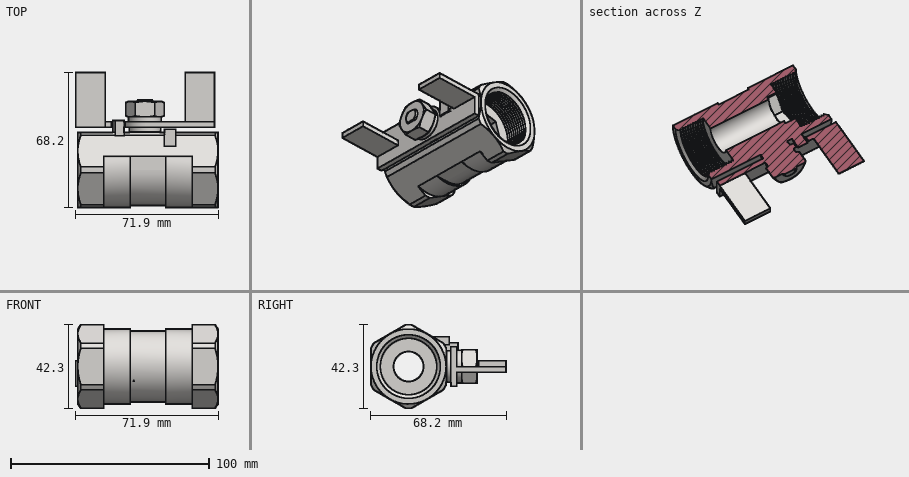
import cadquery as cq
import math


overall_length = 71.9
overall_depth = 68.2
body_length = 70.9
body_end = body_length / 2
hex_flats = 38.0
hex_corner_dia = 42.3
front_flat = hex_flats / 2

middle_length = 44.6
waist_length = 17.8
waist_dia = 36.0
end_chamfer_length = 1.6
end_chamfer_dia = 37.9

flow_bore_dia = 15.0
thread_minor_dia = 28.5
thread_major_dia = 29.9
thread_pitch = 1.45
thread_turns = 10
mouth_dia = 32.15
mouth_depth = 1.0
key_corner_dia = 19.7
key_depth = 5.75
key_angle = 12.0

stem_x = -1.5
stem_dia = 10.0
stem_flats = 6.05
stem_top = 35.45
stem_chamfer_height = 2.0
stem_chamfer_width = 1.5
neck_dia = 15.4
neck_height = 0.3
lower_collar_dia = 16.0
upper_collar_dia = 16.7
nut_flats = 17.0
nut_bottom = 26.75
nut_top = 34.6
nut_chamfer_height = 0.6

sheet = 3.0
handle_back = 21.4
handle_front = handle_back + sheet
handle_tip = overall_depth - front_flat
handle_left = body_end - overall_length
handle_right = 33.7
handle_width = 20.0
tab_length = 14.95
step_x = -18.55
step_z = 1.5
notch_floor_z = 0.0

stop_root = 11.5
arm_stop_front = 25.0
arm_stop_profile = [(-17.8, 0), (-12.0, 0), (-12.0, 12.0), (-16.4, 12.0), (-16.4, 7.25), (-17.8, 4.4)]
block_stop_front = 20.6
block_stop_left = 8.35
block_stop_right = 14.1
block_stop_top = 15.1
block_stop_bottom = 10.9


def box(x_range, y_range, z_range):
    """Axis-aligned box from its limits along each axis."""
    size = [high - low for low, high in (x_range, y_range, z_range)]
    return cq.Workplane("XY").box(*size, centered=False).translate((x_range[0], y_range[0], z_range[0]))


def flow_prism(diameter, x_start, x_stop, sides=0, angle=0.0):
    """Cylinder, or polygon prism with the given corner diameter, along the flow axis."""
    plane = cq.Workplane("YZ", origin=(x_start, 0, 0))
    outline = plane.polygon(sides, diameter) if sides else plane.circle(diameter / 2)
    return outline.extrude(x_stop - x_start).rotate((0, 0, 0), (1, 0, 0), angle)


def stem_cylinder(diameter, y_start, y_stop):
    """Cylinder around the stem axis."""
    plane = cq.Workplane("XZ", origin=(stem_x, y_start, 0))
    return plane.circle(diameter / 2).extrude(y_start - y_stop)


def revolve_x(points):
    """Turn an (x, radius) outline around the flow axis."""
    return cq.Workplane("XY").polyline(points).close().revolve(360, (0, 0, 0), (1, 0, 0))


def body():
    """Solid hexagonal body with turned corners and a round, waisted middle."""
    hex_corners = 2 * hex_flats / math.sqrt(3)
    hexagon = flow_prism(hex_corners, -body_end, body_end, sides=6, angle=30)
    rim = hex_corner_dia / 2
    face = end_chamfer_dia / 2
    shoulder = body_end - end_chamfer_length
    hexagon = hexagon.intersect(revolve_x([
        (-body_end, 0), (-body_end, face), (-shoulder, rim),
        (shoulder, rim), (body_end, face), (body_end, 0),
    ]))

    middle_x = (-middle_length / 2, middle_length / 2)
    full_span = (-hex_corner_dia, hex_corner_dia)
    window = box(middle_x, full_span, full_span)
    kept = box(middle_x, (0, front_flat), (-waist_dia / 2, waist_dia / 2))
    shell = hexagon.cut(window.cut(kept))

    core = flow_prism(waist_dia, *middle_x)
    for side in (-1, 1):
        inner, outer = sorted((side * waist_length / 2, side * middle_length / 2))
        core = core.union(flow_prism(hex_flats, inner, outer))
    return shell.union(core)


def threaded_bore():
    """Left-end cutter (conical mouth, then V-shaped thread rings) and the X of its floor."""
    minor = thread_minor_dia / 2
    major = thread_major_dia / 2
    start = mouth_depth - body_end
    points = [(-body_end, 0), (-body_end, mouth_dia / 2), (start, major)]
    for turn in range(thread_turns):
        x = start + turn * thread_pitch
        points += [(x + thread_pitch / 2, minor), (x + thread_pitch, major)]
    floor_x = start + thread_turns * thread_pitch
    points.append((floor_x, 0))
    return revolve_x(points), floor_x


def stem_and_nut():
    """Double-flatted stem with its neck, collars and chamfered nut."""
    stem = stem_cylinder(stem_dia, front_flat, stem_top)
    stem = stem.faces(">Y").edges().chamfer(stem_chamfer_height, stem_chamfer_width)
    stem = stem.intersect(box((-stem_dia, stem_dia), (0, stem_top), (-stem_flats / 2, stem_flats / 2)))
    neck_top = front_flat + neck_height
    neck = stem_cylinder(neck_dia, front_flat, neck_top)
    lower_collar = stem_cylinder(lower_collar_dia, neck_top, handle_back)
    upper_collar = stem_cylinder(upper_collar_dia, handle_front, nut_bottom)

    nut_corners = 2 * nut_flats / math.sqrt(3)
    nut_plane = cq.Workplane("XZ", origin=(stem_x, nut_bottom, 0))
    nut = nut_plane.polygon(6, nut_corners).extrude(nut_bottom - nut_top)
    chamfer_width = (nut_corners - nut_flats) / 2
    envelope = stem_cylinder(nut_corners, nut_bottom, nut_top)
    envelope = envelope.faces("<Y or >Y").edges().chamfer(nut_chamfer_height, chamfer_width)
    nut = nut.intersect(envelope)
    return stem.union(neck).union(lower_collar).union(upper_collar).union(nut)


def handle():
    """Sheet handle with a round hub and a bent tab at each end."""
    half = handle_width / 2
    plate_y = (handle_back, handle_front)
    plate = stem_cylinder(handle_width, *plate_y)
    plate = plate.union(box((stem_x, handle_right), plate_y, (-half, half)))

    left_tab_end = handle_left + tab_length
    plate = plate.union(box((step_x, stem_x), plate_y, (-half, notch_floor_z)))
    plate = plate.union(box((left_tab_end, step_x), plate_y, (-half, step_z)))
    plate = plate.union(box((handle_left, left_tab_end), plate_y, (-half, sheet)))

    tab_y = (handle_back, handle_tip)
    plate = plate.union(box((handle_left, left_tab_end), tab_y, (0, sheet)))
    return plate.union(box((handle_right - tab_length, handle_right), tab_y, (-sheet, 0)))


def stops():
    """Two lugs on the body that limit the handle travel."""
    plane = cq.Workplane("XZ", origin=(0, stop_root, 0))
    arm_stop = plane.polyline(arm_stop_profile).close().extrude(stop_root - arm_stop_front)
    block_stop = box(
        (block_stop_left, block_stop_right),
        (stop_root, block_stop_front),
        (block_stop_bottom, block_stop_top),
    )
    return arm_stop.union(block_stop)


bore, bore_floor_x = threaded_bore()
result = body().union(stops()).union(stem_and_nut()).union(handle())
result = result.cut(bore).cut(bore.mirror("YZ"))
result = result.cut(flow_prism(flow_bore_dia, -body_end, body_end))
key_floor_x = bore_floor_x + key_depth
result = result.cut(flow_prism(key_corner_dia, bore_floor_x, key_floor_x, sides=6, angle=key_angle))